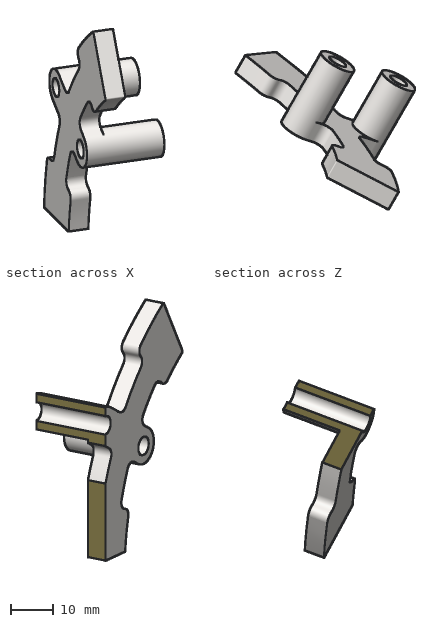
import cadquery as cq
import math

PLATE_THICKNESS = 5.0
POST_LENGTH = 19.6

AXIS_ANGLE = 150.0
PAD_OUTER_RADIUS = 75.25
PAD_INNER_RADIUS = 58.65
NECK_OUTER_RADIUS = 71.25
NECK_INNER_RADIUS = 62.7
NECK_HALF_ANGLE = 15.0
END_HALF_ANGLE = 30.0
END_APEX_OFFSET = 10.0

POST_DIAMETER = 9.0
HOLE_DIAMETER = 4.5
POST_SPACING = 19.0
POST_MID_RADIUS = 67.87

STEP_FILLET = 1.95
TAB_FILLET = 2.0
END_FILLET = 0.3

POST_RADII = [POST_MID_RADIUS - POST_SPACING / 2, POST_MID_RADIUS + POST_SPACING / 2]


def polar(radius, angle):
    """Point (x, z) at a radius and an angle from the mirror axis."""
    direction = math.radians(AXIS_ANGLE + angle)
    return (radius * math.cos(direction), radius * math.sin(direction))


def end_angle(radius):
    """Angle at which an end face crosses the given radius."""
    lean = math.asin(END_APEX_OFFSET * math.sin(math.radians(END_HALF_ANGLE)) / radius)
    return END_HALF_ANGLE - math.degrees(lean)


def tab_root_angle(radius):
    """Angle at which a tab flank crosses the given radius."""
    return math.degrees(math.asin(POST_DIAMETER / 2 / radius))


def arc_to(outline, radius, start, end):
    """Continue the outline along an arc about the origin."""
    return outline.threePointArc(polar(radius, (start + end) / 2), polar(radius, end))


def make_arm():
    """Neck with a wider pad at each end, all corners still sharp."""
    outer_end = end_angle(PAD_OUTER_RADIUS)
    inner_end = end_angle(PAD_INNER_RADIUS)
    neck = NECK_HALF_ANGLE
    outline = cq.Workplane("XZ").moveTo(*polar(PAD_OUTER_RADIUS, outer_end))
    outline = arc_to(outline, PAD_OUTER_RADIUS, outer_end, neck)
    outline = outline.lineTo(*polar(NECK_OUTER_RADIUS, neck))
    outline = arc_to(outline, NECK_OUTER_RADIUS, neck, -neck)
    outline = outline.lineTo(*polar(PAD_OUTER_RADIUS, -neck))
    outline = arc_to(outline, PAD_OUTER_RADIUS, -neck, -outer_end)
    outline = outline.lineTo(*polar(PAD_INNER_RADIUS, -inner_end))
    outline = arc_to(outline, PAD_INNER_RADIUS, -inner_end, -neck)
    outline = outline.lineTo(*polar(NECK_INNER_RADIUS, -neck))
    outline = arc_to(outline, NECK_INNER_RADIUS, -neck, neck)
    outline = outline.lineTo(*polar(PAD_INNER_RADIUS, neck))
    outline = arc_to(outline, PAD_INNER_RADIUS, neck, inner_end)
    return outline.close().extrude(-PLATE_THICKNESS)


def on_posts(diameter):
    """Cylinders of one diameter on both post axes, over the full depth of the part."""
    centres = [polar(radius, 0) for radius in POST_RADII]
    return cq.Workplane("XZ").pushPoints(centres).circle(diameter / 2).extrude(-POST_LENGTH)


def make_tab_bar():
    """Straight bar across the neck, as wide as the posts and joining their axes."""
    return (
        cq.Workplane("XZ")
        .center(*polar(POST_MID_RADIUS, 0))
        .transformed(rotate=(0, 0, AXIS_ANGLE))
        .rect(POST_SPACING, POST_DIAMETER)
        .extrude(-PLATE_THICKNESS)
    )


def round_corners(body, radius, angle, fillet):
    """Fillet the pair of mirrored through-thickness edges at a radius and angle."""
    for signed_angle in (angle, -angle):
        x, z = polar(radius, signed_angle)
        corner = cq.selectors.NearestToPointSelector((x, PLATE_THICKNESS / 2, z))
        body = body.edges(corner).fillet(fillet)
    return body


def round_all_corners(body):
    """Round the end corners, the pad steps and the tab roots."""
    for radius in (PAD_OUTER_RADIUS, PAD_INNER_RADIUS):
        body = round_corners(body, radius, end_angle(radius), END_FILLET)
        body = round_corners(body, radius, NECK_HALF_ANGLE, STEP_FILLET)
    for radius in (NECK_OUTER_RADIUS, NECK_INNER_RADIUS):
        body = round_corners(body, radius, NECK_HALF_ANGLE, STEP_FILLET)
        body = round_corners(body, radius, tab_root_angle(radius), TAB_FILLET)
    return body


blank = make_arm().union(make_tab_bar()).union(on_posts(POST_DIAMETER))
result = round_all_corners(blank).cut(on_posts(HOLE_DIAMETER))